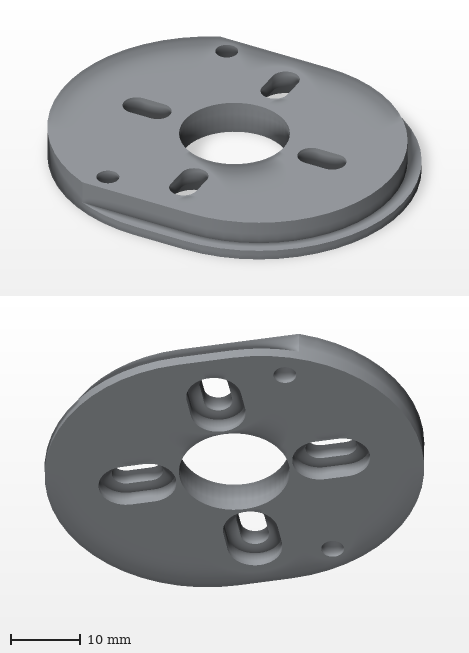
import cadquery as cq

length = 55.0
width = 47.0
height = 5.0
end_radius = width / 2
end_center = length / 2 - end_radius

rim_height = 1.5
rim_width = 2.05

bore_diameter = 16.0
slot_length = 7.5
slot_width = 4.1
head_clearance = 1.9
head_depth = 2.4
slot_radius = 14.25
pin_hole_diameter = 3.3
pin_hole_x = -10.95
pin_hole_y = 18.55


def stadium(radius, thickness):
    """Upright stadium prism around the shared end centers."""
    total_length = 2 * (end_center + radius)
    return cq.Workplane("XY").slot2D(total_length, 2 * radius).extrude(thickness)


def upper_body():
    """Full-height body: inset by the rim, but flush with the plate on the -X end."""
    inset_radius = end_radius - rim_width
    flush_end = cq.Workplane("XY").box(
        length / 2 + end_center, 2 * inset_radius, height, centered=(False, True, False)
    ).translate((-length / 2, 0, 0))
    return stadium(inset_radius, height).union(flush_end.intersect(stadium(end_radius, height)))


result = stadium(end_radius, rim_height).union(upper_body())

result = result.cut(cq.Workplane("XY").circle(bore_diameter / 2).extrude(height))

for angle in (0, 90, 180, 270):
    slot_start = cq.Workplane("XY").center(slot_radius, 0)
    slot = slot_start.slot2D(slot_length, slot_width).extrude(height)
    head_recess = slot_start.slot2D(
        slot_length + 2 * head_clearance, slot_width + 2 * head_clearance
    ).extrude(head_depth)
    result = result.cut(slot.union(head_recess).rotate((0, 0, 0), (0, 0, 1), angle))

pin_holes = (
    cq.Workplane("XY")
    .pushPoints([(pin_hole_x, pin_hole_y), (pin_hole_x, -pin_hole_y)])
    .circle(pin_hole_diameter / 2)
    .extrude(height)
)
result = result.cut(pin_holes)